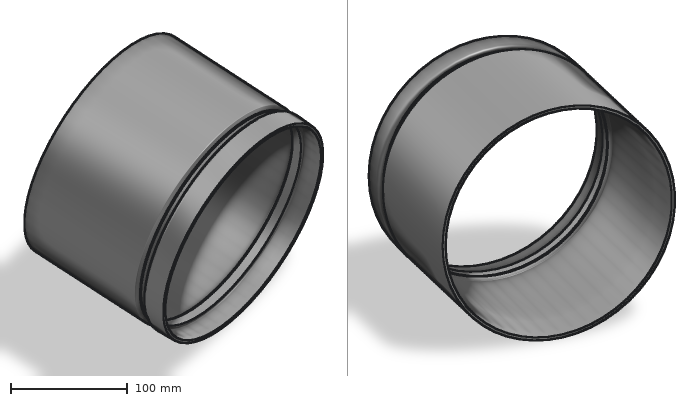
import cadquery as cq
import math

length = 152.4
pipe_outer_radius = 219.07 / 2
pipe_bore_radius = 213.08 / 2
groove_outer_radius = 211.2 / 2
collar_peak_radius = 219.45 / 2
collar_end_radius = 217.8 / 2
wall = pipe_outer_radius - pipe_bore_radius
groove_bore_radius = groove_outer_radius - wall

floor_to_end = 22.3
floor_width = 5.2
ramp_angle = 55.0
ramp_bend_radius = 1.0

floor_end_x = length - floor_to_end
floor_start_x = floor_end_x - floor_width
ramp_start_x = floor_start_x - (pipe_outer_radius - groove_outer_radius) / math.tan(math.radians(ramp_angle))
ramp_inner_shift = wall * math.tan(math.radians(ramp_angle / 2))

shoulder_radius = 4.3
shoulder_inner_radius = shoulder_radius - wall
shoulder_centre_radius = collar_peak_radius - shoulder_radius
peak_angle = math.pi / 2
foot_angle = math.pi - math.asin((groove_outer_radius - shoulder_centre_radius) / shoulder_radius)
middle_angle = (peak_angle + foot_angle) / 2
shoulder_centre_x = floor_end_x - shoulder_radius * math.cos(foot_angle)


def shoulder_point(radius, angle):
    """Point on a shoulder arc, angle in radians from the +X direction."""
    return (
        shoulder_centre_x + radius * math.cos(angle),
        shoulder_centre_radius + radius * math.sin(angle),
    )


def shoulder_inner_foot():
    """Where the inner shoulder arc drops onto the groove bore."""
    return (shoulder_point(shoulder_inner_radius, foot_angle)[0], groove_bore_radius)


def make_wall_profile():
    """Closed half section of the pipe wall: X along the axis, Y as radius."""
    return (
        cq.Workplane("XY")
        .moveTo(0, pipe_outer_radius)
        .lineTo(ramp_start_x, pipe_outer_radius)
        .lineTo(floor_start_x, groove_outer_radius)
        .lineTo(*shoulder_point(shoulder_radius, foot_angle))
        .threePointArc(
            shoulder_point(shoulder_radius, middle_angle),
            shoulder_point(shoulder_radius, peak_angle),
        )
        .lineTo(length, collar_end_radius)
        .lineTo(length, collar_end_radius - wall)
        .lineTo(*shoulder_point(shoulder_inner_radius, peak_angle))
        .threePointArc(
            shoulder_point(shoulder_inner_radius, middle_angle),
            shoulder_point(shoulder_inner_radius, foot_angle),
        )
        .lineTo(*shoulder_inner_foot())
        .lineTo(floor_start_x - ramp_inner_shift, groove_bore_radius)
        .lineTo(ramp_start_x - ramp_inner_shift, pipe_bore_radius)
        .lineTo(0, pipe_bore_radius)
        .close()
    )


def round_ramp_bends(pipe):
    """Round the four circular bend edges at the top and foot of the ramp, outside and in the bore."""
    margin = 0.1
    first_bend_x = ramp_start_x - ramp_inner_shift - margin
    last_bend_x = floor_start_x + margin
    bend_range = cq.selectors.BoxSelector(
        (first_bend_x, -length, -length),
        (last_bend_x, length, length),
    )
    return pipe.edges("%CIRCLE").edges(bend_range).fillet(ramp_bend_radius)


pipe_axis_start = (0, 0, 0)
pipe_axis_end = (1, 0, 0)
result = round_ramp_bends(make_wall_profile().revolve(360, pipe_axis_start, pipe_axis_end))